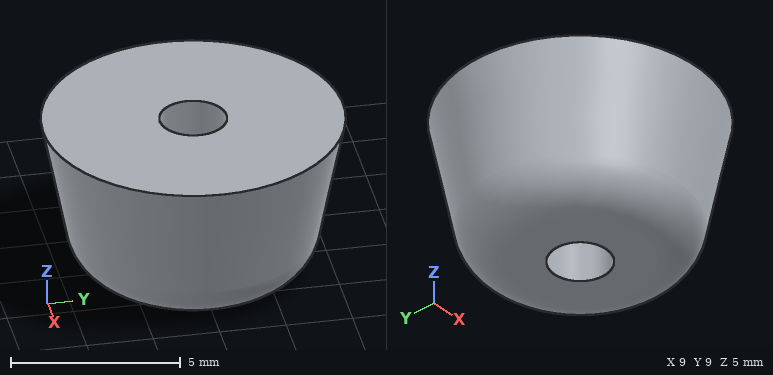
import cadquery as cq

height = 5.0
top_diameter = 9.0
base_diameter = 7.0
bottom_round_radius = 1.5
hole_diameter = 2.0


def tapered_body():
    """Solid cone frustum, narrow end on Z = 0, with its bottom edge rounded."""
    frustum = cq.Workplane(cq.Solid.makeCone(base_diameter / 2, top_diameter / 2, height))
    return frustum.faces("<Z").edges().fillet(bottom_round_radius)


def through_hole():
    """Cylinder that cuts the central hole along Z."""
    return cq.Workplane("XY").circle(hole_diameter / 2).extrude(height)


result = tapered_body().cut(through_hole())